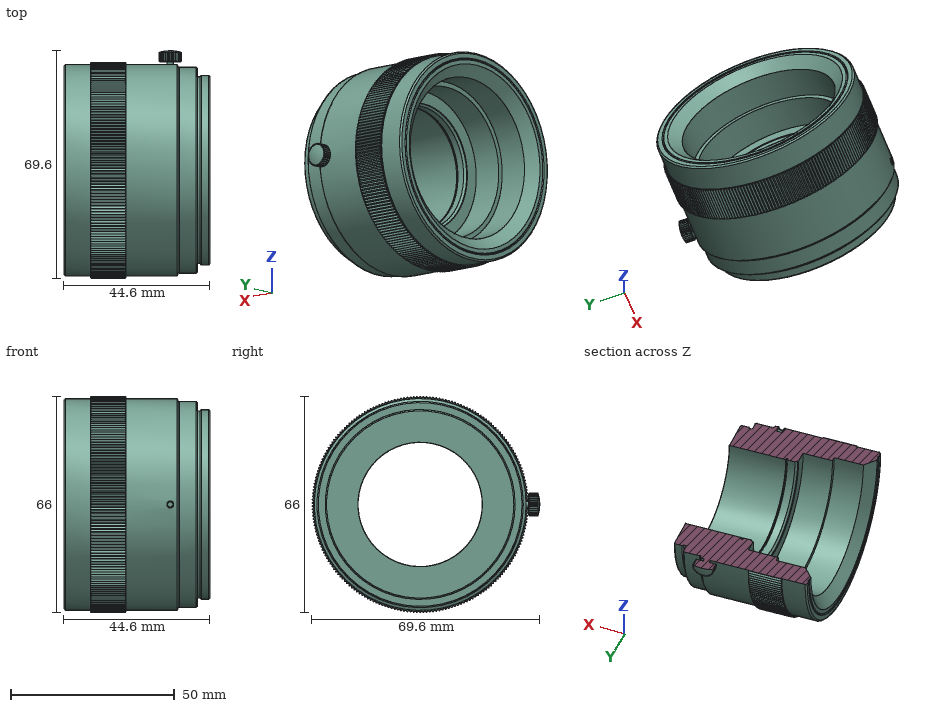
import cadquery as cq
import math

total_length = 44.6
knurl_start = 8.1
knurl_end = 18.9
body_end = 35.05
flange_end = 40.7
thread_start = 41.95

body_diameter = 64.7
knurl_diameter = 66.0
flange_diameter = 63.0
thread_diameter = 58.0
neck_diameter = 57.18

body_chamfer = 0.5
flange_chamfer = 0.4
seam_chamfer = 0.25
thread_chamfer = (thread_diameter - neck_diameter) / 2

mouth_diameter = 57.18
entry_diameter = 50.0
middle_diameter = 47.0
throat_entry_diameter = 39.2
throat_diameter = 37.9
mouth_depth = 3.1
entry_depth = 12.6
middle_depth = 22.2
throat_chamfer_start = 22.5
throat_chamfer_end = throat_chamfer_start + (throat_entry_diameter - throat_diameter) / 2
throat_groove_start = 25.7
throat_groove_width = 0.45
throat_groove_diameter = 39.2

groove_outer_diameter = 60.8
groove_inner_diameter = 59.7
groove_depth = 0.3

knurl_teeth = 210
knurl_depth = 0.5
knurl_chamfer = 0.25

screw_station = 32.45
screw_tip_radius = 36.56
screw_head_diameter = 7.0
screw_head_base = 33.1
screw_dome_height = 0.6
screw_head_chamfer = 0.3
screw_neck_diameter = 2.0
screw_teeth = 30
screw_tooth_depth = 0.3
screw_root = 30.0
hole_diameter = 2.1
hole_core_diameter = 1.6
hole_counterbore_depth = 0.3
hole_depth = 2.0


def revolve_about_x(points):
    """Revolve an (x, radius) outline about the X axis."""
    return cq.Workplane("XY").polyline(points).close().revolve(360, (0, 0, 0), (1, 0, 0))


def serrated_outline(plane, diameter, depth, teeth):
    """Closed outline of V-shaped teeth with their tips on the given diameter, one tip at +Z."""
    tip = diameter / 2
    points = []
    for index in range(2 * teeth):
        radius = tip if index % 2 == 0 else tip - depth
        angle = math.pi * index / teeth
        points.append((radius * math.sin(angle), radius * math.cos(angle)))
    return plane.polyline(points).close()


def make_barrel():
    body = body_diameter / 2
    flange = flange_diameter / 2
    neck = neck_diameter / 2
    thread = thread_diameter / 2
    seam = flange - seam_chamfer
    return revolve_about_x([
        (0, 0),
        (0, body - body_chamfer),
        (body_chamfer, body),
        (body_end - body_chamfer, body),
        (body_end, seam),
        (body_end + seam_chamfer, flange),
        (flange_end - flange_chamfer, flange),
        (flange_end, flange - flange_chamfer),
        (flange_end, neck),
        (thread_start - thread_chamfer, neck),
        (thread_start, thread),
        (total_length - thread_chamfer, thread),
        (total_length, neck),
        (total_length, 0),
    ])


def make_bore():
    throat = throat_diameter / 2
    groove = throat_groove_diameter / 2
    groove_end = throat_groove_start + throat_groove_width
    return revolve_about_x([
        (0, 0),
        (0, mouth_diameter / 2),
        (mouth_depth, entry_diameter / 2),
        (entry_depth, entry_diameter / 2),
        (entry_depth, middle_diameter / 2),
        (middle_depth, middle_diameter / 2),
        (middle_depth, throat_entry_diameter / 2),
        (throat_chamfer_start, throat_entry_diameter / 2),
        (throat_chamfer_end, throat),
        (throat_groove_start, throat),
        (throat_groove_start, groove),
        (groove_end, groove),
        (groove_end, throat),
        (total_length, throat),
        (total_length, 0),
    ])


def make_front_groove():
    outer = groove_outer_diameter / 2
    inner = groove_inner_diameter / 2
    return revolve_about_x([(0, inner), (0, outer), (groove_depth, (inner + outer) / 2)])


def make_grip():
    tip = knurl_diameter / 2
    plane = cq.Workplane("YZ", origin=(knurl_start, 0, 0))
    teeth = serrated_outline(plane, knurl_diameter, knurl_depth, knurl_teeth)
    envelope = revolve_about_x([
        (knurl_start, 0),
        (knurl_start, tip - knurl_chamfer),
        (knurl_start + knurl_chamfer, tip),
        (knurl_end - knurl_chamfer, tip),
        (knurl_end, tip - knurl_chamfer),
        (knurl_end, 0),
    ])
    return teeth.extrude(knurl_end - knurl_start).intersect(envelope)


def make_locking_screw():
    head = screw_head_diameter / 2
    neck = screw_neck_diameter / 2
    rim = screw_tip_radius - screw_dome_height
    base_plane = cq.Workplane("XZ", origin=(screw_station, screw_head_base, 0))
    teeth = serrated_outline(base_plane, screw_head_diameter, screw_tooth_depth, screw_teeth)
    dome_radius = (head**2 + screw_dome_height**2) / (2 * screw_dome_height)
    half_angle = math.asin(head / dome_radius) / 2
    dome_mid = (
        dome_radius * math.sin(half_angle),
        screw_tip_radius - dome_radius * (1 - math.cos(half_angle)),
    )
    envelope = (
        cq.Workplane("XY", origin=(screw_station, 0, 0))
        .moveTo(0, screw_head_base)
        .lineTo(head - screw_head_chamfer, screw_head_base)
        .lineTo(head, screw_head_base + screw_head_chamfer)
        .lineTo(head, rim)
        .threePointArc(dome_mid, (0, screw_tip_radius))
        .close()
        .revolve(360, (0, 0, 0), (0, 1, 0))
    )
    shank = (
        cq.Workplane("XZ", origin=(screw_station, screw_root, 0))
        .circle(neck)
        .extrude(-(rim - screw_root))
    )
    return teeth.extrude(-(screw_tip_radius - screw_head_base)).intersect(envelope).union(shank)


def make_set_screw_hole():
    surface = cq.Workplane("XZ", origin=(screw_station, -body_diameter / 2, 0))
    counterbore = surface.circle(hole_diameter / 2).extrude(-hole_counterbore_depth)
    core = surface.circle(hole_core_diameter / 2).extrude(-hole_depth)
    return counterbore.union(core)


result = (
    make_barrel()
    .union(make_grip())
    .cut(make_bore())
    .cut(make_front_groove())
    .cut(make_set_screw_hole())
    .union(make_locking_screw())
)